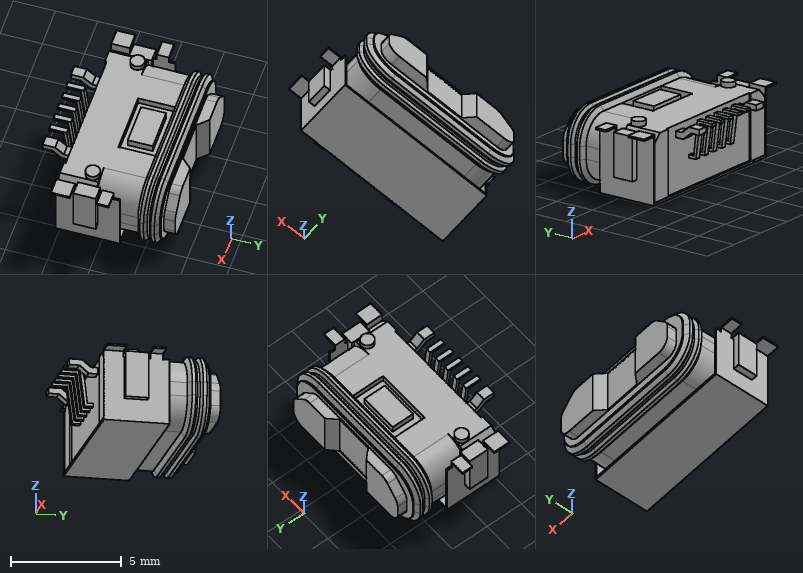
import cadquery as cq
import math


overall_width = 9.94
overall_height = 3.75
mating_end_y = 5.51
pin_tip_y = -1.19
solder_z = 1.65

neck_half_width = 4.15
neck_half_height = 1.62
neck_radius = 1.3
neck_front_y = 4.97
ring_height = overall_height / 2 - neck_half_height
ring_slope = 0.17
ring_land = 0.17
ring_rear_y = 3.88
ring_pitch = 0.52
ring_count = 2
ring_web_height = 0.08

block_rear_y = 0.03
block_front_y = 1.86
block_chamfer = 0.43
rear_panel_half_width = 3.09
rear_panel_y = 0.12

nose_half_width = 3.74
nose_top_z = 1.31
nose_bottom_z = -1.13
nose_bevel = 0.9
nose_radius = 0.6
notch_mouth_half_width = 1.49
notch_floor_half_width = 1.01
notch_floor_y = 5.02

pocket_half_width = notch_mouth_half_width
pocket_rear_y = 2.12
pocket_depth = 0.33
pad_half_width = notch_floor_half_width
pad_rear_y = 2.41
pad_front_y = 3.59

peg_x = 3.38
peg_y = 1.5
peg_radius = 0.34

sheet = 0.09
shell_half_width = neck_half_width + sheet
shell_length = 3.04
shell_bottom_z = -1.74
shell_wall_top_z = 1.31
shell_tabs = [(0.0, 0.89), (2.16, 2.73)]

wing_inner_x = 3.89
wing_outer_x = 4.58
wing_rear_y = 0.94
wing_front_y = 2.01
wing_bottom_z = -0.68
wing_top_z = 1.47

contact_count = 5
contact_pitch = 0.65
contact_width = 0.27
hold_down_x = 2.15
hold_down_width = 0.53


def box(x0, x1, y0, y1, z0, z1):
    """Axis-aligned block between two opposite corners."""
    return cq.Workplane("XY").box(x1 - x0, y1 - y0, z1 - z0, centered=False).translate((x0, y0, z0))


def prism_along_y(outline, y0, y1):
    """Closed XZ outline extruded from y0 to y1."""
    return cq.Workplane("XZ", origin=(0, y0, 0)).polyline(outline).close().extrude(y0 - y1)


def rounded_prism(margin, y0, y1):
    """Neck cross-section grown by a margin all round and extruded from y0 to y1."""
    half_width = neck_half_width + margin
    half_height = neck_half_height + margin
    body = box(-half_width, half_width, y0, y1, -half_height, half_height)
    return body.edges("|Y").fillet(neck_radius + margin)


def sealing_ring(rear_y):
    """Ring with a flat crest and a sloping flank on each side."""
    crest_rear_y = rear_y + ring_slope
    ring = rounded_prism(ring_height, crest_rear_y, crest_rear_y + ring_land)
    flank_angle = math.degrees(math.atan2(ring_height, ring_slope))
    for end in ("<Y", ">Y"):
        ring = ring.faces(end).wires().toPending().workplane().extrude(ring_slope, taper=flank_angle)
    return ring


def neck():
    """Rounded neck running from inside the rear block out through the sealing rings."""
    body = rounded_prism(0, block_front_y, neck_front_y)
    for index in range(ring_count):
        body = body.union(sealing_ring(ring_rear_y + index * ring_pitch))
    first_crest_y = ring_rear_y + ring_slope
    last_crest_y = first_crest_y + (ring_count - 1) * ring_pitch
    web = rounded_prism(ring_web_height, first_crest_y, last_crest_y)
    return body.union(web)


def rear_block():
    """Block with beveled top corners and a shallow sunken panel on its rear face."""
    block = box(
        -neck_half_width, neck_half_width,
        block_rear_y, block_front_y,
        -neck_half_height, neck_half_height,
    )
    block = block.faces(">Z").edges("|Y").chamfer(block_chamfer)
    panel = box(
        -rear_panel_half_width, rear_panel_half_width,
        block_rear_y, rear_panel_y,
        -neck_half_height, neck_half_height,
    )
    return block.cut(panel)


def mating_nose():
    """Keyed nose with beveled top corners and a flared notch across its end."""
    outline = [
        (-nose_half_width, nose_bottom_z),
        (nose_half_width, nose_bottom_z),
        (nose_half_width, nose_top_z - nose_bevel),
        (nose_half_width - nose_bevel, nose_top_z),
        (nose_bevel - nose_half_width, nose_top_z),
        (-nose_half_width, nose_top_z - nose_bevel),
    ]
    nose = prism_along_y(outline, neck_front_y, mating_end_y).edges("|Y").fillet(nose_radius)
    notch = (
        cq.Workplane("XY", origin=(0, 0, nose_bottom_z))
        .polyline([
            (-notch_floor_half_width, notch_floor_y),
            (notch_floor_half_width, notch_floor_y),
            (notch_mouth_half_width, mating_end_y),
            (-notch_mouth_half_width, mating_end_y),
        ])
        .close()
        .extrude(nose_top_z - nose_bottom_z)
    )
    return nose.cut(notch)


def latch_pocket():
    """Space removed from the top of the neck, up to the rear sealing ring."""
    return box(
        -pocket_half_width, pocket_half_width,
        pocket_rear_y, ring_rear_y,
        neck_half_height - pocket_depth, neck_half_height,
    )


def latch_pad():
    """Pad standing on the pocket floor."""
    return box(
        -pad_half_width, pad_half_width,
        pad_rear_y, pad_front_y,
        neck_half_height - pocket_depth, solder_z,
    )


def pegs():
    """Two locating pegs on top of the rear block."""
    return (
        cq.Workplane("XY", origin=(0, 0, neck_half_height))
        .pushPoints([(-peg_x, peg_y), (peg_x, peg_y)])
        .circle(peg_radius)
        .extrude(overall_height / 2 - neck_half_height)
    )


def shell_floor():
    """Shell bottom, reaching up to the underside of the block and neck."""
    return box(
        -shell_half_width, shell_half_width,
        0, shell_length,
        shell_bottom_z, -neck_half_height,
    )


def shell_side():
    """Shell wall on the +X side with its bent solder tabs and the wing."""
    side = box(neck_half_width, shell_half_width, 0, shell_length, shell_bottom_z, shell_wall_top_z)
    for start_y, end_y in shell_tabs:
        riser = box(neck_half_width, shell_half_width, start_y, end_y, shell_wall_top_z, solder_z)
        flange = box(neck_half_width, overall_width / 2, start_y, end_y, solder_z - sheet, solder_z)
        side = side.union(riser).union(flange)
    wing = box(wing_inner_x, wing_outer_x, wing_rear_y, wing_front_y, wing_bottom_z, wing_top_z)
    return side.union(wing)


def pin(center_x, width, side_outline):
    """YZ outline extruded to a width centered on center_x."""
    start = cq.Workplane("YZ", origin=(center_x - width / 2, 0, 0))
    return start.polyline(side_outline).close().extrude(width)


contact_outline = [
    (rear_panel_y, -0.08),
    (-0.15, -0.08),
    (-0.35, solder_z),
    (pin_tip_y, solder_z),
    (pin_tip_y, 1.51),
    (-0.5, 1.51),
    (-0.27, -0.23),
    (rear_panel_y, -0.23),
]
hold_down_outline = [
    (rear_panel_y, 1.31),
    (-0.18, 1.31),
    (-0.6, solder_z),
    (pin_tip_y, solder_z),
    (pin_tip_y, 1.37),
    (-0.74, 1.37),
    (-0.3, 1.01),
    (rear_panel_y, 1.01),
]

result = neck().union(rear_block()).union(mating_nose())
result = result.cut(latch_pocket()).union(latch_pad()).union(pegs())

right_side = shell_side()
result = result.union(shell_floor()).union(right_side).union(right_side.mirror("YZ"))

for index in range(contact_count):
    contact_x = (index - (contact_count - 1) / 2) * contact_pitch
    result = result.union(pin(contact_x, contact_width, contact_outline))
for hold_down_center in (-hold_down_x, hold_down_x):
    result = result.union(pin(hold_down_center, hold_down_width, hold_down_outline))